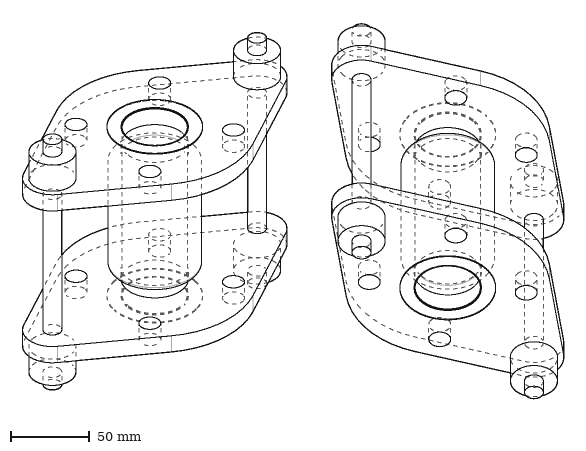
import cadquery as cq
import math

half_width = 65.0
half_length = 105.5
rod_offset = 86.5
tip_radius = half_length - rod_offset
plate_outer_z = 64.4
plate_thickness = 12.5
plate_inner_z = plate_outer_z - plate_thickness
bolt_circle_radius = 50.0
bolt_hole_diameter = 14.0
bolt_count = 4

rod_diameter = 12.0
rod_length = 188.0
nut_diameter = 30.0
nut_height = 20.0

body_radius = 29.8
body_half_height = 41.1
body_edge_radius = 2.7
neck_radius = 21.3
neck_fillet_radius = 2.7
rim_radius = 30.4
rim_height = 0.6
rim_z = plate_outer_z + rim_height
bore_radius = 20.7
mouth_radius = neck_radius


def plate_outline():
    """Diamond outline: two wide arcs and two tip arcs joined by tangent lines."""
    normal_y = (half_width - tip_radius) / rod_offset
    normal_x = math.sqrt(1 - normal_y**2)
    side_x = half_width * normal_x
    side_y = half_width * normal_y
    tip_x = tip_radius * normal_x
    tip_y = rod_offset + tip_radius * normal_y
    return (
        cq.Workplane("XY")
        .moveTo(side_x, -side_y)
        .threePointArc((half_width, 0), (side_x, side_y))
        .lineTo(tip_x, tip_y)
        .threePointArc((0, half_length), (-tip_x, tip_y))
        .lineTo(-side_x, side_y)
        .threePointArc((-half_width, 0), (-side_x, -side_y))
        .lineTo(-tip_x, -tip_y)
        .threePointArc((0, -half_length), (tip_x, -tip_y))
        .close()
    )


def cylinder(radius, bottom_z, top_z, y=0):
    """Upright cylinder between two heights."""
    return cq.Workplane("XY", origin=(0, y, bottom_z)).circle(radius).extrude(top_z - bottom_z)


def upper_plate():
    bolt_holes = (
        cq.Workplane("XY")
        .polarArray(bolt_circle_radius, 180 / bolt_count, 360, bolt_count)
        .circle(bolt_hole_diameter / 2)
        .extrude(plate_thickness)
    )
    plate = plate_outline().extrude(plate_thickness).cut(bolt_holes)
    return plate.translate((0, 0, plate_inner_z))


def neck_foot(foot_z, side):
    """Concave fillet where a neck meets an end face of the body; side is 1 above and -1 below."""
    top_z = foot_z + side * neck_fillet_radius
    diagonal = math.sqrt(0.5)
    arc_mid = (
        neck_radius + neck_fillet_radius * (1 - diagonal),
        top_z - side * neck_fillet_radius * diagonal,
    )
    return (
        cq.Workplane("XZ")
        .moveTo(0, foot_z)
        .lineTo(neck_radius + neck_fillet_radius, foot_z)
        .threePointArc(arc_mid, (neck_radius, top_z))
        .lineTo(0, top_z)
        .close()
        .revolve(360, (0, 0, 0), (0, 1, 0))
    )


def tube():
    """Solid tube: round-edged body, necks filleted into it, and a raised rim at each end."""
    body = cylinder(body_radius, -body_half_height, body_half_height)
    body = body.edges("%CIRCLE").fillet(body_edge_radius)
    solid = body.union(cylinder(neck_radius, -plate_outer_z, plate_outer_z))
    for side in (-1, 1):
        foot_z = side * body_half_height
        solid = solid.union(neck_foot(foot_z, side))
        solid = solid.union(cylinder(rim_radius, side * plate_outer_z, side * rim_z))
    return solid


def tie_rods():
    rods = cq.Workplane("XY")
    for y in (-rod_offset, rod_offset):
        rods = rods.add(cylinder(rod_diameter / 2, -rod_length / 2, rod_length / 2, y))
    return rods.combine()


def upper_nuts():
    nuts = cq.Workplane("XY")
    for y in (-rod_offset, rod_offset):
        nuts = nuts.add(cylinder(nut_diameter / 2, plate_outer_z, plate_outer_z + nut_height, y))
    return nuts.combine()


upper_fittings = upper_plate().union(upper_nuts())
lower_fittings = upper_fittings.mirror("XY")
bore = cylinder(bore_radius, -rim_z, rim_z)
upper_mouth = cylinder(mouth_radius, plate_outer_z, rim_z)
lower_mouth = upper_mouth.mirror("XY")

result = tube().union(upper_fittings).union(lower_fittings).union(tie_rods())
result = result.cut(bore).cut(upper_mouth).cut(lower_mouth)